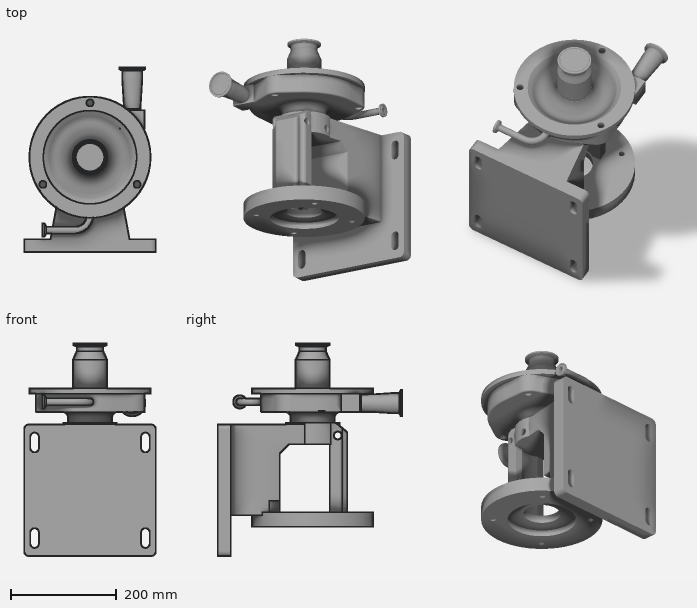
import cadquery as cq
import math


PLATE_SIZE = 250.0
PLATE_THICKNESS = 25.0
PLATE_BACK_Y = -180.0
PLATE_FRONT_Y = PLATE_BACK_Y + PLATE_THICKNESS
PLATE_CORNER_RADIUS = 10.0
SLOT_LENGTH = 37.0
SLOT_WIDTH = 16.0
SLOT_SPACING_X = 210.0
SLOT_SPACING_Z = 181.0

MOTOR_FLANGE_RADIUS = 115.0
MOTOR_FLANGE_BOTTOM_Z = 55.5
MOTOR_FLANGE_TOP_Z = 83.5
MOTOR_BORE_RADIUS = 35.0
MOTOR_RECESS_RADIUS = 65.0
MOTOR_RECESS_DEPTH = 12.5
MOTOR_HOLE_DIAMETER = 11.0
MOTOR_HOLE_CIRCLE_RADIUS = 92.5
MOTOR_HOLE_COUNT = 4
MOTOR_HOLE_START_ANGLE = 45.0

HUB_RADIUS = 51.0
HUB_BOTTOM_Z = 212.0
HUB_TOP_Z = 252.5
HUB_HOLE_DIAMETER = 14.0
HUB_HOLE_DEPTH = 20.0
HUB_HOLE_Z = 225.0

BRACKET_BOTTOM_Z = 77.5
BRACKET_INNER_Y = -62.0
BRACKET_HALF_WIDTH_AT_PLATE = 75.0
BRACKET_HALF_WIDTH_AT_HUB = 49.0
BRACKET_HUB_Y = -14.5
BRACKET_CHAMFER = 17.5
RELIEF_TOP_Z = 105.0
RELIEF_OUTER_Y = -82.5
RELIEF_APEX_X = 31.0

COLUMN_HALF_WIDTH = 37.5
COLUMN_INNER_Y = 32.0
COLUMN_SHOULDER_Y = 56.0
COLUMN_CORNER_RADIUS = 6.0
COLUMN_HOLLOW_RADIUS = 38.0
COLUMN_RIB_HALF_WIDTH = 25.0
COLUMN_RIB_Y = 66.0
COLUMN_CHAMFER_RUN = 21.5
COLUMN_CHAMFER_DROP = 18.0
COLUMN_HOLE_DIAMETER = 14.5
COLUMN_HOLE_Y = 47.6
COLUMN_HOLE_Z = 228.7

NECK_RADIUS = 42.0
NECK_FLARE_RADIUS = 10.0

CASING_BOTTOM_Z = 273.0
CASING_PLATE_SIDE_RADIUS = 98.5
CASING_EDGE_RADIUS = 3.0
LOBE_RADIUS = 30.0
LOBE_REACH = 114.5
LOBE_DISTANCE = LOBE_REACH - LOBE_RADIUS
LOBE_ANGLES = (90.0, 210.0, 330.0)
LOBE_PITCH = 360.0 / len(LOBE_ANGLES)
UPPER_TANGENT_ANGLE = 30.0
CASING_UPPER_RADIUS = LOBE_RADIUS + LOBE_DISTANCE * math.cos(math.radians(UPPER_TANGENT_ANGLE))
CASING_ARC_RADII = (CASING_UPPER_RADIUS, CASING_PLATE_SIDE_RADIUS, CASING_UPPER_RADIUS)

COVER_RADIUS = 115.0
COVER_THICKNESS = 10.0
COVER_TOP_Z = 318.0
COVER_BOTTOM_Z = COVER_TOP_Z - COVER_THICKNESS
COVER_HOLE_DIAMETER = 13.5
COVER_HOLE_CIRCLE_RADIUS = 103.0
BOWL_DEPTH = 15.0
BOWL_RIM_RADIUS = 88.5
BOWL_CONE_RADIUS = 78.3
BOWL_FLOOR_OUTER_RADIUS = 68.0
BOWL_FLOOR_INNER_RADIUS = 52.0
BOWL_CONE_ANGLE = math.radians(49.0)

INLET_BOTTOM_Z = COVER_BOTTOM_Z - BOWL_DEPTH
INLET_TOP_Z = 403.0
INLET_TUBE_RADIUS = 32.5
INLET_CONE_BOTTOM_Z = 372.0
INLET_CONE_TOP_Z = 388.0
INLET_END_RADIUS = 25.5
INLET_FERRULE_RADIUS = 32.0

OUTLET_X = 80.0
OUTLET_Z = 290.0
OUTLET_END_Y = 170.0
OUTLET_CONE_END_Y = 150.0
OUTLET_CONE_START_Y = 92.0
OUTLET_END_RADIUS = 19.3
OUTLET_START_RADIUS = 15.7
OUTLET_NECK_RADIUS = 14.0
OUTLET_FERRULE_RADIUS = 25.0
OUTLET_BLOCK_Y = 89.0
OUTLET_BLOCK_X = 103.5
OUTLET_BLOCK_LENGTH = 35.0

DRAIN_Z = 292.5
DRAIN_PIPE_RADIUS = 6.6
DRAIN_BORE_RADIUS = 5.0
DRAIN_BEND_RADIUS = 28.0
DRAIN_Y = -138.0
DRAIN_END_X = -90.5
DRAIN_FERRULE_RADIUS = 12.8

FERRULE_LIP = 3.0
FERRULE_LENGTH = 6.0
DRAIN_FERRULE_LIP = 4.0
DRAIN_FERRULE_LENGTH = 8.0
FERRULE_GROOVE_INSET = 4.0
FERRULE_GROOVE_RADIUS = 1.25


def polar(radius, degrees):
    angle = math.radians(degrees)
    return (radius * math.cos(angle), radius * math.sin(angle))


def cylinder_z(radius, bottom_z, top_z):
    return cq.Workplane("XY", origin=(0, 0, bottom_z)).circle(radius).extrude(top_z - bottom_z)


def ferrule(end_radius, tube_radius, lip=FERRULE_LIP, length=FERRULE_LENGTH):
    """Clamp end on the local Z axis: face at z = 0, body towards -Z, sealing groove in the face."""
    body = (
        cq.Workplane("XZ")
        .moveTo(0, 0)
        .lineTo(end_radius, 0)
        .lineTo(end_radius, -lip)
        .lineTo(tube_radius, -length)
        .lineTo(0, -length)
        .close()
        .revolve(360, (0, 0, 0), (0, 1, 0))
    )
    groove = cq.Workplane("XY").add(
        cq.Solid.makeTorus(end_radius - FERRULE_GROOVE_INSET, FERRULE_GROOVE_RADIUS)
    )
    return body.cut(groove)


def wall_plate():
    plate = (
        cq.Workplane("XZ", origin=(0, PLATE_FRONT_Y, PLATE_SIZE / 2))
        .rect(PLATE_SIZE, PLATE_SIZE)
        .extrude(PLATE_THICKNESS)
        .edges("|Y")
        .fillet(PLATE_CORNER_RADIUS)
    )
    slots = (
        cq.Workplane("XZ", origin=(0, PLATE_FRONT_Y, PLATE_SIZE / 2))
        .rect(SLOT_SPACING_X, SLOT_SPACING_Z, forConstruction=True)
        .vertices()
        .slot2D(SLOT_LENGTH, SLOT_WIDTH, 90)
        .extrude(PLATE_THICKNESS)
    )
    return plate.cut(slots)


def motor_flange():
    return (
        cylinder_z(MOTOR_FLANGE_RADIUS, MOTOR_FLANGE_BOTTOM_Z, MOTOR_FLANGE_TOP_Z)
        .faces(">Z")
        .workplane()
        .polarArray(MOTOR_HOLE_CIRCLE_RADIUS, MOTOR_HOLE_START_ANGLE, 360, MOTOR_HOLE_COUNT)
        .hole(MOTOR_HOLE_DIAMETER)
    )


def bracket_half_width(y):
    """Half the width of the tapered bracket at a given y."""
    taper = (BRACKET_HALF_WIDTH_AT_PLATE - BRACKET_HALF_WIDTH_AT_HUB) / (BRACKET_HUB_Y - PLATE_FRONT_Y)
    return BRACKET_HALF_WIDTH_AT_HUB + taper * (BRACKET_HUB_Y - y)


def bracket():
    side_profile = (
        cq.Workplane("YZ")
        .moveTo(PLATE_FRONT_Y, BRACKET_BOTTOM_Z)
        .lineTo(BRACKET_INNER_Y, BRACKET_BOTTOM_Z)
        .lineTo(BRACKET_INNER_Y, HUB_BOTTOM_Z - BRACKET_CHAMFER)
        .lineTo(BRACKET_INNER_Y + BRACKET_CHAMFER, HUB_BOTTOM_Z)
        .lineTo(BRACKET_HUB_Y, HUB_BOTTOM_Z)
        .lineTo(BRACKET_HUB_Y, PLATE_SIZE)
        .lineTo(PLATE_FRONT_Y, PLATE_SIZE)
        .close()
        .extrude(BRACKET_HALF_WIDTH_AT_PLATE, both=True)
    )
    plan = (
        cq.Workplane("XY")
        .moveTo(-BRACKET_HALF_WIDTH_AT_PLATE, PLATE_FRONT_Y)
        .lineTo(BRACKET_HALF_WIDTH_AT_PLATE, PLATE_FRONT_Y)
        .lineTo(BRACKET_HALF_WIDTH_AT_HUB, BRACKET_HUB_Y)
        .lineTo(-BRACKET_HALF_WIDTH_AT_HUB, BRACKET_HUB_Y)
        .close()
        .extrude(PLATE_SIZE)
    )
    return side_profile.intersect(plan).cut(bolt_reliefs())


def bolt_reliefs():
    """Triangular clearances at the foot of the bracket, one open to each flank."""
    outer_x = bracket_half_width(RELIEF_OUTER_Y)
    relief = (
        cq.Workplane("XY", origin=(0, 0, MOTOR_FLANGE_TOP_Z))
        .moveTo(outer_x, RELIEF_OUTER_Y)
        .lineTo(RELIEF_APEX_X, BRACKET_INNER_Y)
        .lineTo(outer_x, BRACKET_INNER_Y)
        .close()
        .extrude(RELIEF_TOP_Z - MOTOR_FLANGE_TOP_Z)
    )
    return relief.union(relief.mirror("YZ"))


def rounded_bar(half_width, inner_y, outer_y):
    """Upright bar from the motor flange to the hub top with its two far corners rounded."""
    height = HUB_TOP_Z - MOTOR_FLANGE_TOP_Z
    return (
        cq.Workplane("XY", origin=(0, (inner_y + outer_y) / 2, MOTOR_FLANGE_TOP_Z))
        .rect(2 * half_width, outer_y - inner_y)
        .extrude(height)
        .edges("|Z and >Y")
        .fillet(COLUMN_CORNER_RADIUS)
    )


def column():
    bar = rounded_bar(COLUMN_HALF_WIDTH, COLUMN_INNER_Y, COLUMN_SHOULDER_Y)
    rib = rounded_bar(COLUMN_RIB_HALF_WIDTH, COLUMN_INNER_Y, COLUMN_RIB_Y)
    hollow = cylinder_z(COLUMN_HOLLOW_RADIUS, MOTOR_FLANGE_TOP_Z, HUB_BOTTOM_Z)
    chamfer = (
        cq.Workplane("YZ")
        .moveTo(COLUMN_RIB_Y, HUB_TOP_Z)
        .lineTo(COLUMN_RIB_Y - COLUMN_CHAMFER_RUN, HUB_TOP_Z)
        .lineTo(COLUMN_RIB_Y, HUB_TOP_Z - COLUMN_CHAMFER_DROP)
        .close()
        .extrude(COLUMN_HALF_WIDTH, both=True)
    )
    return bar.union(rib).cut(hollow).cut(chamfer)


def column_cross_hole():
    return (
        cq.Workplane("YZ", origin=(0, COLUMN_HOLE_Y, COLUMN_HOLE_Z))
        .circle(COLUMN_HOLE_DIAMETER / 2)
        .extrude(COLUMN_HALF_WIDTH, both=True)
    )


def hub_hole():
    return (
        cq.Workplane("YZ", origin=(-HUB_RADIUS, 0, HUB_HOLE_Z))
        .circle(HUB_HOLE_DIAMETER / 2)
        .extrude(HUB_HOLE_DEPTH)
    )


def neck():
    """Round neck that flares with a concave quarter arc into the casing floor."""
    flare_radius = NECK_RADIUS + NECK_FLARE_RADIUS
    flare_z = CASING_BOTTOM_Z - NECK_FLARE_RADIUS
    mid = NECK_FLARE_RADIUS * math.sqrt(0.5)
    return (
        cq.Workplane("XZ")
        .moveTo(0, HUB_TOP_Z)
        .lineTo(NECK_RADIUS, HUB_TOP_Z)
        .lineTo(NECK_RADIUS, flare_z)
        .threePointArc((flare_radius - mid, flare_z + mid), (flare_radius, CASING_BOTTOM_Z))
        .lineTo(0, CASING_BOTTOM_Z)
        .close()
        .revolve(360, (0, 0, 0), (0, 1, 0))
    )


def lobe_point(lobe_angle, normal_angle):
    """Point on a lobe where its outward normal has the given angle."""
    center_x, center_y = polar(LOBE_DISTANCE, lobe_angle)
    offset_x, offset_y = polar(LOBE_RADIUS, normal_angle)
    return (center_x + offset_x, center_y + offset_y)


def tangent_angle(arc_radius):
    """Angle between a lobe axis and the normal of the line tangent to both lobe and casing arc."""
    return math.degrees(math.acos((arc_radius - LOBE_RADIUS) / LOBE_DISTANCE))


def casing():
    """Three lobes joined to three arcs about the pump axis by straight tangents."""
    last_arc_radius = CASING_ARC_RADII[-1]
    outline = cq.Workplane("XY", origin=(0, 0, CASING_BOTTOM_Z))
    outline = outline.moveTo(*polar(last_arc_radius, LOBE_ANGLES[0] - tangent_angle(last_arc_radius)))
    entry_angle = tangent_angle(last_arc_radius)
    for angle, arc_radius in zip(LOBE_ANGLES, CASING_ARC_RADII):
        exit_angle = tangent_angle(arc_radius)
        outline = outline.lineTo(*lobe_point(angle, angle - entry_angle))
        outline = outline.threePointArc(polar(LOBE_REACH, angle), lobe_point(angle, angle + exit_angle))
        outline = outline.lineTo(*polar(arc_radius, angle + exit_angle))
        outline = outline.threePointArc(
            polar(arc_radius, angle + LOBE_PITCH / 2),
            polar(arc_radius, angle + LOBE_PITCH - exit_angle),
        )
        entry_angle = exit_angle
    body = outline.close().extrude(COVER_BOTTOM_Z - CASING_BOTTOM_Z)
    return body.faces("<Z").edges().fillet(CASING_EDGE_RADIUS)


def cover_bowl():
    """Ring-shaped dish around the inlet: cone, rounded corner, flat floor and rounded tube root."""
    floor_z = COVER_TOP_Z - BOWL_DEPTH
    corner_radius = (BOWL_CONE_RADIUS - BOWL_FLOOR_OUTER_RADIUS) / math.sin(BOWL_CONE_ANGLE)
    cone_bottom_z = floor_z + corner_radius * (1 - math.cos(BOWL_CONE_ANGLE))
    corner_mid = (
        BOWL_FLOOR_OUTER_RADIUS + corner_radius * math.sin(BOWL_CONE_ANGLE / 2),
        floor_z + corner_radius * (1 - math.cos(BOWL_CONE_ANGLE / 2)),
    )
    root_radius = BOWL_FLOOR_INNER_RADIUS - INLET_TUBE_RADIUS
    root_drop = root_radius - BOWL_DEPTH
    root_center = (BOWL_FLOOR_INNER_RADIUS, floor_z + root_radius)
    root_end_angle = math.acos(root_drop / root_radius)
    root_end = (root_center[0] - root_radius * math.sin(root_end_angle), COVER_TOP_Z)
    root_mid = (
        root_center[0] - root_radius * math.sin(root_end_angle / 2),
        root_center[1] - root_radius * math.cos(root_end_angle / 2),
    )
    return (
        cq.Workplane("XZ")
        .moveTo(BOWL_RIM_RADIUS, COVER_TOP_Z)
        .lineTo(BOWL_CONE_RADIUS, cone_bottom_z)
        .threePointArc(corner_mid, (BOWL_FLOOR_OUTER_RADIUS, floor_z))
        .lineTo(BOWL_FLOOR_INNER_RADIUS, floor_z)
        .threePointArc(root_mid, root_end)
        .close()
        .revolve(360, (0, 0, 0), (0, 1, 0))
    )


def cover_bolt_holes():
    holes = cq.Workplane("XY", origin=(0, 0, CASING_BOTTOM_Z))
    holes = holes.pushPoints([polar(COVER_HOLE_CIRCLE_RADIUS, angle) for angle in LOBE_ANGLES])
    return holes.circle(COVER_HOLE_DIAMETER / 2).extrude(COVER_TOP_Z - CASING_BOTTOM_Z)


def inlet():
    tube = (
        cq.Workplane("XZ")
        .moveTo(0, INLET_BOTTOM_Z)
        .lineTo(INLET_TUBE_RADIUS, INLET_BOTTOM_Z)
        .lineTo(INLET_TUBE_RADIUS, INLET_CONE_BOTTOM_Z)
        .lineTo(INLET_END_RADIUS, INLET_CONE_TOP_Z)
        .lineTo(INLET_END_RADIUS, INLET_TOP_Z - FERRULE_LENGTH)
        .lineTo(0, INLET_TOP_Z - FERRULE_LENGTH)
        .close()
        .revolve(360, (0, 0, 0), (0, 1, 0))
    )
    end = ferrule(INLET_FERRULE_RADIUS, INLET_END_RADIUS).translate((0, 0, INLET_TOP_Z))
    return tube.union(end)


def outlet():
    block_center_y = OUTLET_BLOCK_Y - OUTLET_BLOCK_LENGTH / 2
    tube = (
        cq.Workplane("XY", origin=(OUTLET_X, 0, OUTLET_Z))
        .moveTo(0, block_center_y)
        .lineTo(OUTLET_NECK_RADIUS, block_center_y)
        .lineTo(OUTLET_NECK_RADIUS, OUTLET_CONE_START_Y)
        .lineTo(OUTLET_START_RADIUS, OUTLET_CONE_START_Y)
        .lineTo(OUTLET_END_RADIUS, OUTLET_CONE_END_Y)
        .lineTo(OUTLET_END_RADIUS, OUTLET_END_Y - FERRULE_LENGTH)
        .lineTo(0, OUTLET_END_Y - FERRULE_LENGTH)
        .close()
        .revolve(360, (0, 0, 0), (0, 1, 0))
    )
    end = ferrule(OUTLET_FERRULE_RADIUS, OUTLET_END_RADIUS).rotate((0, 0, 0), (1, 0, 0), -90)
    end = end.translate((OUTLET_X, OUTLET_END_Y, OUTLET_Z))
    block = (
        cq.Workplane("XY", origin=(OUTLET_X, block_center_y, CASING_BOTTOM_Z))
        .rect(2 * (OUTLET_BLOCK_X - OUTLET_X), OUTLET_BLOCK_LENGTH)
        .extrude(COVER_BOTTOM_Z - CASING_BOTTOM_Z)
    )
    return block.union(tube).union(end)


def drain_rod(radius, inner_y):
    """Round rod along the drain centre line, from the casing at inner_y to the open end."""
    bend_y = DRAIN_Y + DRAIN_BEND_RADIUS
    bend_mid = DRAIN_BEND_RADIUS * (1 - math.sqrt(0.5))
    path = (
        cq.Workplane("XY", origin=(0, 0, DRAIN_Z))
        .moveTo(0, inner_y)
        .lineTo(0, bend_y)
        .threePointArc((-bend_mid, DRAIN_Y + bend_mid), (-DRAIN_BEND_RADIUS, DRAIN_Y))
        .lineTo(DRAIN_END_X, DRAIN_Y)
    )
    return cq.Workplane("XZ", origin=(0, inner_y, DRAIN_Z)).circle(radius).sweep(path)


def drain():
    end = ferrule(DRAIN_FERRULE_RADIUS, DRAIN_PIPE_RADIUS, DRAIN_FERRULE_LIP, DRAIN_FERRULE_LENGTH)
    end = end.rotate((0, 0, 0), (0, 1, 0), -90)
    end = end.translate((DRAIN_END_X, DRAIN_Y, DRAIN_Z))
    overlap = DRAIN_PIPE_RADIUS
    pipe = drain_rod(DRAIN_PIPE_RADIUS, overlap - CASING_PLATE_SIDE_RADIUS)
    return pipe.union(end).cut(drain_rod(DRAIN_BORE_RADIUS, -CASING_PLATE_SIDE_RADIUS))


def bracket_assembly():
    hub = cylinder_z(HUB_RADIUS, HUB_BOTTOM_Z, HUB_TOP_Z)
    body = wall_plate().union(motor_flange()).union(bracket()).union(column()).union(hub)
    bore = cylinder_z(MOTOR_BORE_RADIUS, MOTOR_FLANGE_BOTTOM_Z, MOTOR_FLANGE_TOP_Z)
    recess_top_z = MOTOR_FLANGE_BOTTOM_Z + MOTOR_RECESS_DEPTH
    recess = cylinder_z(MOTOR_RECESS_RADIUS, MOTOR_FLANGE_BOTTOM_Z, recess_top_z)
    return body.cut(bore).cut(recess).cut(column_cross_hole()).cut(hub_hole())


def pump_assembly():
    cover = cylinder_z(COVER_RADIUS, COVER_BOTTOM_Z, COVER_TOP_Z)
    body = casing().union(cover).union(neck())
    body = body.cut(cover_bowl()).cut(cover_bolt_holes())
    return body.union(inlet()).union(outlet()).union(drain())


result = bracket_assembly().union(pump_assembly())